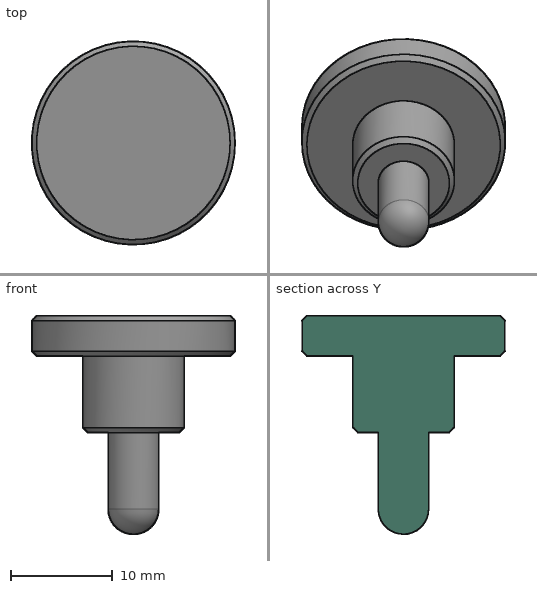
import cadquery as cq

total_height = 21.5
head_diameter = 20.0
head_thickness = 4.0
hub_length = 7.5
edge_chamfer = 0.5

head_radius = head_diameter / 2
hub_radius = head_radius / 2
pin_radius = hub_radius / 2

head_bottom = total_height - head_thickness
hub_bottom = head_bottom - hub_length


def make_disc(radius, bottom, height, chamfered_edges):
    """Upright cylinder with the selected rims chamfered."""
    disc = cq.Workplane("XY").workplane(offset=bottom).circle(radius).extrude(height)
    return disc.edges(chamfered_edges).chamfer(edge_chamfer)


def make_pin():
    """Round pin ending in a hemispherical tip."""
    length = hub_bottom - pin_radius
    shank = cq.Workplane("XY").workplane(offset=pin_radius).circle(pin_radius).extrude(length)
    tip = cq.Workplane("XY").sphere(pin_radius).translate((0, 0, pin_radius))
    return shank.union(tip)


head = make_disc(head_radius, head_bottom, head_thickness, "%CIRCLE")
hub = make_disc(hub_radius, hub_bottom, hub_length, "<Z")

result = head.union(hub).union(make_pin())